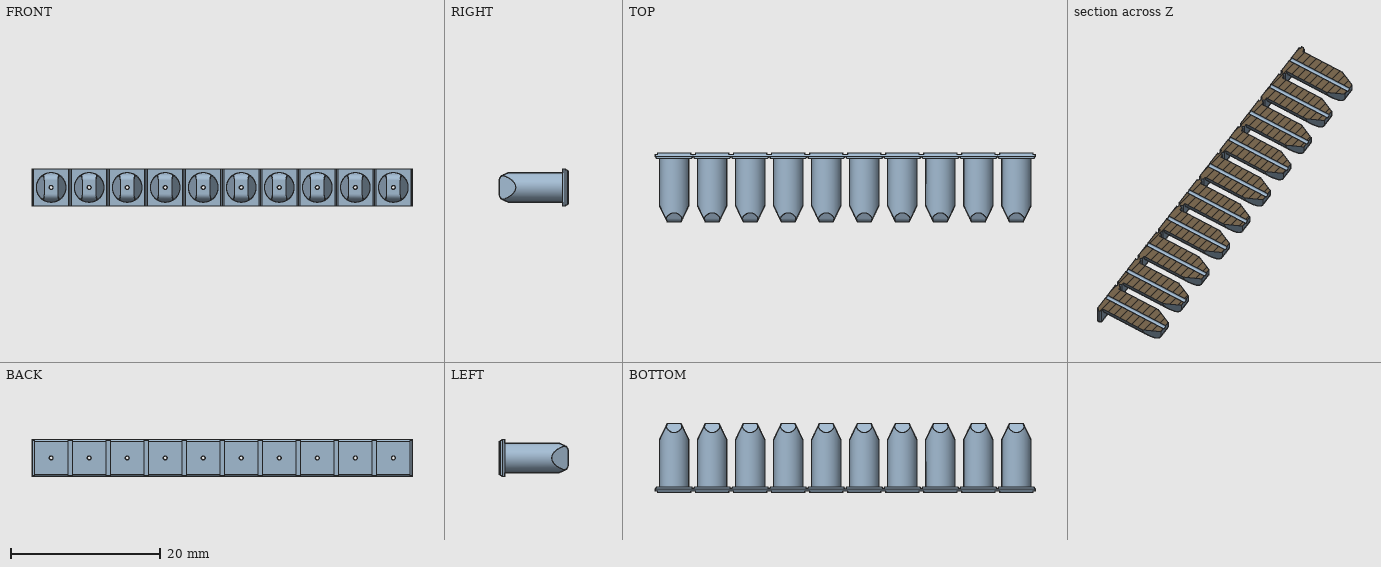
import cadquery as cq

pin_count = 10
row_length = 51.0
row_height = 5.0
total_depth = 9.3
pitch = row_length / pin_count

flange_thickness = 0.75
rim_inset = 0.3
rim_depth = 0.45
back_slot_depth = 0.2
front_groove_half_width = 0.2
front_groove_depth = 0.3

pin_radius = 4.0 / 2
bore_diameter = 0.5
side_half_width = 0.9
side_slope = 0.48
bevel_half_height = 1.45
bevel_slope = 0.45
tip_fillet = 0.75


def make_strip():
    """Flange strip along the whole row, its upper and lower rims bevelled towards the back."""
    half_height = row_height / 2
    return (
        cq.Workplane("YZ")
        .polyline([
            (0, half_height - rim_inset),
            (-rim_depth, half_height),
            (-flange_thickness, half_height),
            (-flange_thickness, -half_height),
            (-rim_depth, -half_height),
            (0, -half_height + rim_inset),
        ])
        .close()
        .extrude(row_length / 2, both=True)
    )


def make_joint_cutter():
    """Vertical cutter at a flange boundary: square slot at the back, V groove at the front."""
    back_slot = cq.Workplane("XY").rect(2 * rim_inset, 2 * back_slot_depth)
    front_groove = (
        cq.Workplane("XY")
        .polyline([
            (-front_groove_half_width, -flange_thickness),
            (0, -flange_thickness + front_groove_depth),
            (front_groove_half_width, -flange_thickness),
        ])
        .close()
    )
    return back_slot.extrude(row_height, both=True).union(front_groove.extrude(row_height, both=True))


def make_wedge(plane, axis_is_first, tip_half_size, slope):
    """Symmetric wedge that widens from the pin tip back to y = 0."""
    back_half_size = tip_half_size + slope * total_depth
    corners = [
        (-total_depth, tip_half_size),
        (0, back_half_size),
        (0, -back_half_size),
        (-total_depth, -tip_half_size),
    ]
    if not axis_is_first:
        corners = [(size, y) for y, size in corners]
    return cq.Workplane(plane).polyline(corners).close().extrude(pin_radius, both=True)


def make_pin():
    """Round pin with a bevelled, rounded tip and flat tapered sides."""
    bevels = make_wedge("YZ", True, bevel_half_height, bevel_slope)
    side_flats = make_wedge("XY", False, side_half_width, side_slope)
    pin = cq.Workplane("XZ").circle(pin_radius).extrude(total_depth).intersect(bevels)
    return pin.faces("<Y").edges().fillet(tip_fillet).intersect(side_flats)


strip = make_strip()
joint_cutter = make_joint_cutter()
for index in range(pin_count + 1):
    strip = strip.cut(joint_cutter.translate((index * pitch - row_length / 2, 0, 0)))

pin = make_pin()
bore = cq.Workplane("XZ").circle(bore_diameter / 2).extrude(total_depth)
result = strip
for index in range(pin_count):
    pin_position = ((index + 0.5) * pitch - row_length / 2, 0, 0)
    result = result.union(pin.translate(pin_position)).cut(bore.translate(pin_position))